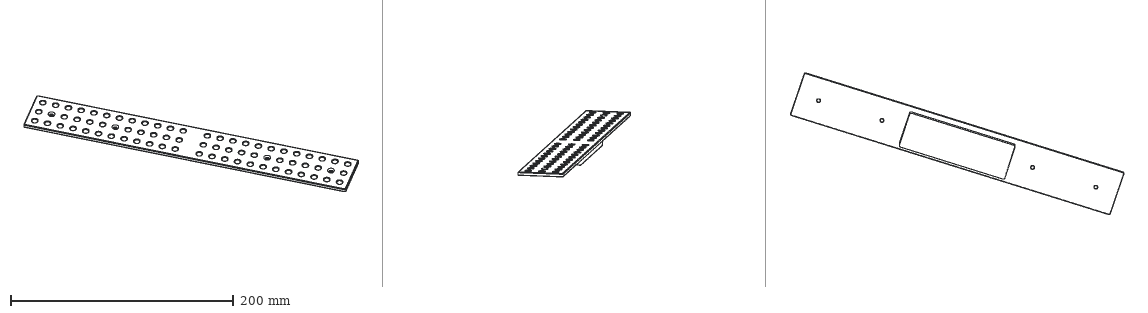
import cadquery as cq

plate_length = 302.7
plate_width = 41.5
overall_height = 11.5
plate_thickness = 3.0
plate_corner_radius = 1.2
plate_rim_chamfer = 0.5

row_pitch = 12.7
columns_per_bank = 12
rows = 3
bank_gap = 22.7
bank_length = 132.0
first_column_x = bank_gap / 2
column_pitch = bank_length / (columns_per_bank - 1)
recess_diameter = 5.0
recess_rim_chamfer = 0.45
recess_depth = 0.5

screw_columns = (5, 10)
screw_hole_diameter = 3.3
countersink_diameter = 6.0
countersink_angle = 90.0

wedge_length = 100.0
wedge_width = 32.0
wedge_front_height = 4.2
wedge_back_height = overall_height - plate_thickness
wedge_corner_radius = 1.5


def column_x(column):
    """Distance of a column from the middle of the plate."""
    return first_column_x + column * column_pitch


def make_plate():
    plate = cq.Workplane("XY").box(plate_length, plate_width, plate_thickness, centered=(True, True, False))
    plate = plate.edges("|Z").fillet(plate_corner_radius)
    return plate.faces(">Z").edges().chamfer(plate_rim_chamfer)


def make_wedge():
    half_width = wedge_width / 2
    profile = [
        (-half_width, 0),
        (half_width, 0),
        (half_width, -wedge_back_height),
        (-half_width, -wedge_front_height),
    ]
    wedge = cq.Workplane("YZ").polyline(profile).close().extrude(wedge_length / 2, both=True)
    return wedge.edges("|Z").fillet(wedge_corner_radius)


def hole_centres():
    """Sort the pattern positions into plain recesses and screw holes."""
    recesses = []
    screws = []
    middle_row = rows // 2
    for side in (-1, 1):
        for column in range(columns_per_bank):
            for row in range(rows):
                centre = (side * column_x(column), (row - middle_row) * row_pitch)
                is_screw = row == middle_row and column in screw_columns
                if is_screw:
                    screws.append(centre)
                else:
                    recesses.append(centre)
    return recesses, screws


def make_recess_cutters(centres):
    """Shallow round pockets with a chamfered rim."""
    rim_diameter = recess_diameter + 2 * recess_rim_chamfer
    radius = recess_diameter / 2
    profile = [
        (0, plate_thickness),
        (rim_diameter / 2, plate_thickness),
        (radius, plate_thickness - recess_rim_chamfer),
        (radius, plate_thickness - recess_depth),
        (0, plate_thickness - recess_depth),
    ]
    cutter = cq.Workplane("XZ").polyline(profile).close().revolve(360, (0, 0), (0, 1)).val()
    return cq.Workplane("XY").pushPoints(centres).eachpoint(lambda place: cutter.moved(place))


recess_centres, screw_centres = hole_centres()
result = make_plate().union(make_wedge()).cut(make_recess_cutters(recess_centres))
result = (
    result.faces(">Z")
    .workplane(origin=(0, 0, plate_thickness))
    .pushPoints(screw_centres)
    .cskHole(screw_hole_diameter, countersink_diameter, countersink_angle, depth=plate_thickness)
)